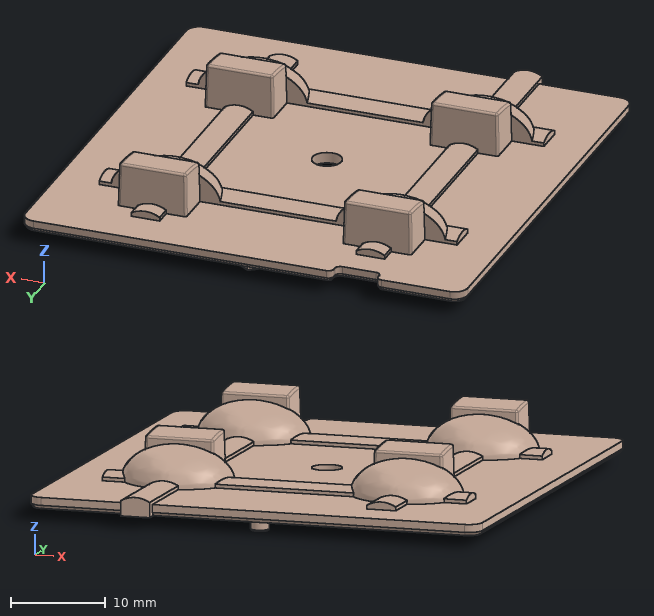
import cadquery as cq

PLATE_SIZE = 50.0
PLATE_THICKNESS = 1.25
PLATE_CORNER_RADIUS = 1.5
BOTTOM_CHAMFER_HEIGHT = 0.4
BOTTOM_CHAMFER_INSET = 0.28
CENTER_HOLE_DIAMETER = 3.25

NOTCH_WIDTH = 5.0
NOTCH_DEPTH = 1.5
NOTCH_FILLET = 0.6

PEG_HEIGHT = 1.25
PEG_OFFSET = 22.5
PEG_DIAMETER = 2.0
DIAMOND_LENGTH = 2.3
DIAMOND_WIDTH = 1.6
PEG_CHAMFER = 0.15

PITCH = 25.4
HALF_PITCH = PITCH / 2
RAIL_WIDTH = 3.2
RAIL_SIDE_HEIGHT = 0.4
RAIL_CROWN_HEIGHT = 0.85
RAIL_END = 20.2
TAB_OVERHANG = 1.0
TAB_ROOT = 1.0

DOME_HALF_WIDTH = 6.2
DOME_REACH = 5.5
DOME_HEIGHT = 3.85
DOME_BACK = RAIL_WIDTH / 2
BLOCK_WIDTH = 7.75
BLOCK_LENGTH = 4.3
BLOCK_OVERLAP = 0.3
BLOCK_DRAFT_ANGLE = 1.5
BLOCK_EDGE_FILLET = 0.25
BLOCK_HEIGHT = 4.91
BLOCK_FRONT_DROP = 0.45

HALF_PLATE = PLATE_SIZE / 2
TAB_END = HALF_PLATE + TAB_OVERHANG


def make_plate():
    plate = cq.Workplane("XY").rect(PLATE_SIZE, PLATE_SIZE).extrude(-PLATE_THICKNESS)
    plate = plate.edges("|Z").fillet(PLATE_CORNER_RADIUS)
    plate = plate.cut(make_notch())
    plate = plate.faces("<Z").edges().chamfer(BOTTOM_CHAMFER_HEIGHT, BOTTOM_CHAMFER_INSET)
    return plate.faces(">Z").workplane(origin=(0, 0, 0)).hole(CENTER_HOLE_DIAMETER)


def make_notch():
    """Cutter for the rear notch: rounded at its floor and flared at its mouth."""
    half = NOTCH_WIDTH / 2
    floor = -NOTCH_DEPTH
    r = NOTCH_FILLET
    return (
        cq.Workplane("XY", origin=(-HALF_PITCH, HALF_PLATE, -PLATE_THICKNESS))
        .moveTo(-half - r, 0)
        .radiusArc((-half, -r), r)
        .lineTo(-half, floor + r)
        .radiusArc((-half + r, floor), -r)
        .lineTo(half - r, floor)
        .radiusArc((half, floor + r), -r)
        .lineTo(half, -r)
        .radiusArc((half + r, 0), r)
        .close()
        .extrude(PLATE_THICKNESS)
    )


def chamfer_peg_tip(peg):
    return peg.faces("<Z").chamfer(PEG_CHAMFER)


def make_round_stock(y):
    return (
        cq.Workplane("XY", origin=(0, y, -PLATE_THICKNESS))
        .circle(PEG_DIAMETER / 2)
        .extrude(-PEG_HEIGHT)
    )


def make_round_peg(y):
    return chamfer_peg_tip(make_round_stock(y))


def make_diamond_peg(y):
    """Diamond locating peg whose two X tips are trimmed round to the peg diameter."""
    diamond = (
        cq.Workplane("XY", origin=(0, y, -PLATE_THICKNESS))
        .moveTo(-DIAMOND_LENGTH / 2, 0)
        .lineTo(0, -DIAMOND_WIDTH / 2)
        .lineTo(DIAMOND_LENGTH / 2, 0)
        .lineTo(0, DIAMOND_WIDTH / 2)
        .close()
        .extrude(-PEG_HEIGHT)
    )
    return chamfer_peg_tip(diamond.intersect(make_round_stock(y)))


def make_rail(plane, start, end):
    """Crowned bar running along the normal of the plane from start to end."""
    half = RAIL_WIDTH / 2
    return (
        cq.Workplane(plane)
        .workplane(offset=start)
        .moveTo(-half, 0)
        .lineTo(half, 0)
        .lineTo(half, RAIL_SIDE_HEIGHT)
        .threePointArc((0, RAIL_CROWN_HEIGHT), (-half, RAIL_SIDE_HEIGHT))
        .close()
        .extrude(end - start)
    )


def make_tab():
    """Plate-deep foot of the left rail where it overhangs the front edge."""
    tab_length = TAB_ROOT + TAB_OVERHANG
    return (
        cq.Workplane("XY", origin=(-HALF_PITCH, -TAB_END + tab_length / 2, 0))
        .rect(RAIL_WIDTH, tab_length)
        .extrude(-PLATE_THICKNESS)
    )


def make_dome():
    """Quarter ellipsoid with its flat back on the XZ plane, bulging toward -Y."""
    ball = cq.Workplane("XY").sphere(1.0)
    keep = cq.Workplane("XY").box(2, 1, 1, centered=(True, False, False)).translate((0, -1, 0))
    stretch = cq.Matrix([
        [DOME_HALF_WIDTH, 0, 0, 0],
        [0, DOME_REACH, 0, 0],
        [0, 0, DOME_HEIGHT, 0],
    ])
    return cq.Workplane(ball.intersect(keep).val().transformGeometry(stretch))


def make_block():
    """Drafted block with the front of its foot on the XZ plane; its top curves down to the front."""
    front_height = BLOCK_HEIGHT - BLOCK_FRONT_DROP
    top_radius = (BLOCK_LENGTH**2 + BLOCK_FRONT_DROP**2) / (2 * BLOCK_FRONT_DROP)
    side_profile = (
        cq.Workplane("YZ", origin=(-BLOCK_WIDTH / 2, 0, 0))
        .lineTo(BLOCK_LENGTH, 0)
        .lineTo(BLOCK_LENGTH, BLOCK_HEIGHT)
        .radiusArc((0, front_height), -top_radius)
        .close()
        .extrude(BLOCK_WIDTH)
    )
    drafted = (
        cq.Workplane("XY", origin=(0, BLOCK_LENGTH / 2, 0))
        .rect(BLOCK_WIDTH, BLOCK_LENGTH)
        .extrude(BLOCK_HEIGHT, taper=BLOCK_DRAFT_ANGLE)
    )
    return drafted.intersect(side_profile).edges("not <Z").fillet(BLOCK_EDGE_FILLET)


body = make_plate()
body = body.union(make_round_peg(-PEG_OFFSET))
body = body.union(make_diamond_peg(PEG_OFFSET))

for y in (-HALF_PITCH, HALF_PITCH):
    body = body.union(make_rail("YZ", -RAIL_END, RAIL_END).translate((0, y, 0)))

for x, front_end in ((-HALF_PITCH, TAB_END), (HALF_PITCH, RAIL_END)):
    body = body.union(make_rail("XZ", -RAIL_END, front_end).translate((x, 0, 0)))
body = body.union(make_tab())

bump = make_dome().union(make_block().translate((0, -BLOCK_OVERLAP, 0)))
for x in (-HALF_PITCH, HALF_PITCH):
    for y in (-HALF_PITCH, HALF_PITCH):
        body = body.union(bump.translate((x, y + DOME_BACK, 0)))

result = body